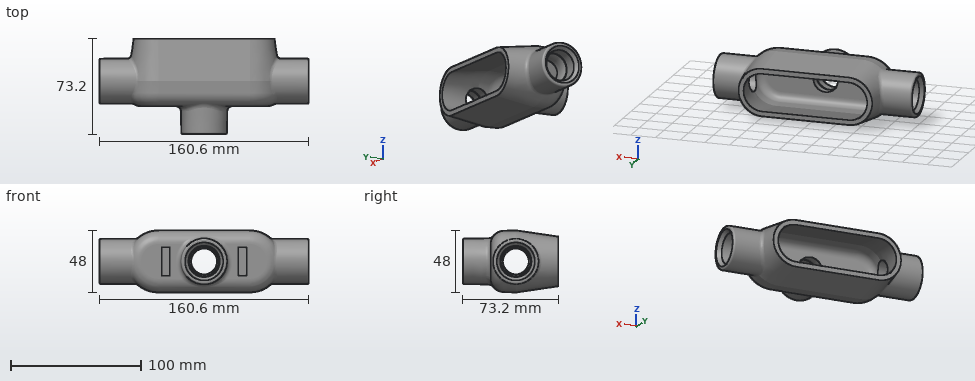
import cadquery as cq
import math


end_center_x = 35.0
body_half_height = 24.0
opening_half_height = 19.1
opening_y = 32.6
front_depth = 19.3
front_draft = 2.0
front_round = 10.3
wall = 4.0

run_length = 80.3
run_radius = 34.9 / 2
run_root_fillet = 2.7
branch_length = 40.6
branch_radius = 35.2 / 2
branch_draft = 1.0
branch_root_fillet = 3.9
port_edge_round = 1.5

mouth_radius = 14.6
mouth_depth = 3.4
bore_outer_radius = 12.0
bore_inner_radius = 11.7
bore_depth = 14.0
stop_radius = 11.4
throat_flare_length = 6.5
throat_radius = 19.8 / 2

panel_x = 29.4
panel_width = 6.5
panel_height = 21.8
panel_depth = 0.8
panel_corner = 0.6

right_turn = 0
left_turn = 180
branch_turn = -90

rear_draft = math.degrees(math.atan2(body_half_height - opening_half_height, opening_y))


def body_half(radius, depth, draft, direction):
    """Tapered half of the body, growing from Y = 0 toward +Y (1) or -Y (-1)."""
    plane = cq.Plane(origin=(0, 0, 0), xDir=(1, 0, 0), normal=(0, direction, 0))
    slot_length = 2 * (end_center_x + radius)
    return cq.Workplane(plane).slot2D(slot_length, 2 * radius).extrude(depth, taper=draft)


def body_shape(inset):
    """Body outline moved inward by the inset everywhere but at the +Y opening."""
    radius = body_half_height - inset
    rear = body_half(radius, opening_y, rear_draft, 1)
    front = body_half(radius, front_depth - inset, front_draft, -1)
    front = front.faces("<Y").edges().fillet(front_round - inset)
    return rear.union(front)


def turned(shape, turn):
    """Turn a shape made along +X to the direction of its port."""
    return shape.rotate((0, 0, 0), (0, 0, 1), turn)


def hub(length, end_radius, draft):
    """Round hub along +X that widens inward by the draft, with a rounded outer edge."""
    plane = cq.Plane(origin=(length, 0, 0), xDir=(0, 1, 0), normal=(-1, 0, 0))
    solid = cq.Workplane(plane).circle(end_radius).extrude(length, taper=-draft)
    return solid.faces(">X").edges().fillet(port_edge_round)


def port_bore(length):
    """Bore along +X: flared mouth, tapered bore and a stop that rounds into a narrower throat."""
    stop_x = length - bore_depth
    return (
        cq.Workplane("XY")
        .lineTo(0, throat_radius)
        .lineTo(stop_x - throat_flare_length, throat_radius)
        .tangentArcPoint((stop_x, stop_radius), relative=False)
        .lineTo(stop_x, bore_inner_radius)
        .lineTo(length - mouth_depth, bore_outer_radius)
        .lineTo(length, mouth_radius)
        .lineTo(length, 0)
        .close()
        .revolve(360, (0, 0, 0), (1, 0, 0))
    )


def edges_near(center, size):
    """Selector for edges whose centers lie in a cube."""
    middle = cq.Vector(*center)
    corner = cq.Vector(size, size, size) * 0.5
    return cq.selectors.BoxSelector((middle - corner).toTuple(), (middle + corner).toTuple())


def add_run_ports(body):
    """Join a hub to each rounded end and fillet its root."""
    run_hub = hub(run_length, run_radius, 0)
    for side, turn in ((1, right_turn), (-1, left_turn)):
        body = body.union(turned(run_hub, turn))
        root = edges_near((side * (end_center_x + run_radius), 0, 0), 2 * run_radius)
        body = body.edges(root).edges("%BSPLINE").fillet(run_root_fillet)
    return body


def add_branch_port(body):
    """Join the tapered hub to the -Y face and fillet its root."""
    body = body.union(turned(hub(branch_length, branch_radius, branch_draft), branch_turn))
    root = edges_near((0, -front_depth, 0), 2 * branch_radius)
    return body.edges(root).edges("%BSPLINE or %CIRCLE").fillet(branch_root_fillet)


def label_panels():
    """Shallow rounded rectangles on both sides of the branch."""
    return (
        cq.Workplane("XZ", origin=(0, -front_depth, 0))
        .pushPoints([(-panel_x, 0), (panel_x, 0)])
        .rect(panel_width, panel_height)
        .extrude(-panel_depth)
        .edges("|Y")
        .fillet(panel_corner)
    )


outside = add_branch_port(add_run_ports(body_shape(0)))
fitting = outside.cut(body_shape(wall))
for length, turn in ((run_length, right_turn), (run_length, left_turn), (branch_length, branch_turn)):
    fitting = fitting.cut(turned(port_bore(length), turn))

result = fitting.cut(label_panels())